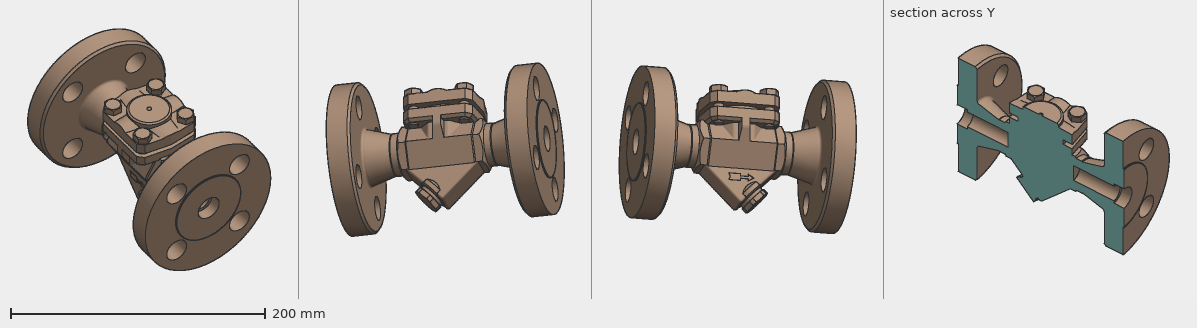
import cadquery as cq
import math

face_to_face = 165.0
flange_diameter = 120.0
flange_thickness = 19.0
flange_chamfer = 2.0
raised_face_diameter = 62.2
raised_face_height = 1.0
raised_face_chamfer = 0.6
bolt_circle_square = 60.0
flange_hole_diameter = 19.0
hub_diameter = 45.8
hub_fillet = 2.5
neck_diameter = 34.0
weld_root_diameter = 33.2
weld_root_x = 41.4
weld_top_x = 40.6
bore_diameter = 20.0
bore_depth = 10.0
passage_diameter = 15.0
passage_depth = 50.0

end_hex_flats = 37.0
end_hex_half_length = 35.2
end_hex_chamfer_angle = 30.0
body_hex_flats = 38.8
body_half_length = 27.4
body_edge_chamfer = 0.9

plate_half_width = 28.1
plate_corner = 4.8
plate_peak_x = 31.1
top_flange_bottom = 14.7
top_flange_chamfer = 2.4
top_flange_top = 25.0
cover_bottom = 29.1
cover_top = 38.2
spacer_diameter = 45.0

boss_diameter = 35.4
boss_top = 43.7
boss_chamfer = 1.0
boss_chamfer_width = 1.7
tip_diameter = 3.7
tip_height = 1.3
end_ridge_peak = 1.4
end_ridge_half_width = 8.2
end_ridge_rise = 0.055
side_ridge_peak = 2.1
side_ridge_half_width = 7.6
side_ridge_rise = 0.1

cover_bolt_spacing = 41.0
cover_bolt_diameter = 8.0
cover_bolt_end = 13.3
cover_bolt_turn = 30
cover_bolt_flats = 13.0
cover_bolt_head_height = 5.5
cover_bolt_head_chamfer = 0.5

core_front = 22.0
core_front_half_width = 8.4
core_side_half_width = 19.0
core_fillet = 3.2
core_root_fillet = 1.0
lug_front_half_width = 3.2
lug_root_half_width = 4.6
lug_chamfer = 0.9

wedge_fillet = 1.8
wedge_apex_z = -47.8
plug_offset = 19.7
plug_boss_diameter = 27.2
plug_boss_rim_diameter = 24.4
plug_boss_root_diameter = 21.0
plug_boss_start = 26.2
plug_boss_full = 29.2
plug_boss_shoulder = 33.2
plug_boss_end = 34.3
plug_collar_diameter = 21.0
plug_head_start = 37.2
plug_head_end = 41.8
plug_head_flats = 22.2
plug_head_rim_diameter = 23.8
plug_head_chamfer = 0.3

arrow_tail_x = -10.0
arrow_notch_depth = 1.2
arrow_shaft_x = -0.6
arrow_head_x = 5.7
arrow_tip_x = 10.2
arrow_half_height = 2.8
arrow_shaft_half_height = 1.0
arrow_z = -26.6
arrow_relief = 0.4

half_hex_angle = math.radians(30)
plug_swing = 135
match_tolerance = 0.01
shortest_root_run = 1.0
wedge_half_thickness = body_hex_flats / 2 * math.tan(half_hex_angle)


def hex_across_corners(flats):
    return flats / math.cos(half_hex_angle)


def flanged_end():
    """Left flange with its raised face, hub cone and neck, as one turned piece."""
    end = face_to_face / 2
    front = end - raised_face_height
    back = front - flange_thickness
    raised_radius = raised_face_diameter / 2
    flange_radius = flange_diameter / 2
    cone_slope = (hub_diameter - weld_root_diameter) / 2 / (back - weld_root_x)
    fillet_end_radius = hub_diameter / 2 - cone_slope * hub_fillet
    profile = (
        cq.Workplane("XY")
        .moveTo(-end, 0)
        .lineTo(-end, raised_radius - raised_face_chamfer)
        .lineTo(-end + raised_face_chamfer, raised_radius)
        .lineTo(-front, raised_radius)
        .lineTo(-front, flange_radius)
        .lineTo(-back - flange_chamfer, flange_radius)
        .lineTo(-back, flange_radius - flange_chamfer)
        .lineTo(-back, fillet_end_radius + hub_fillet)
        .radiusArc((-back + hub_fillet, fillet_end_radius), -hub_fillet)
        .lineTo(-weld_root_x, weld_root_diameter / 2)
        .lineTo(-weld_top_x, neck_diameter / 2)
        .lineTo(-body_half_length, neck_diameter / 2)
        .lineTo(-body_half_length, 0)
        .close()
    )
    turned = profile.revolve(360, (0, 0, 0), (1, 0, 0))
    holes = (
        cq.Workplane("YZ", origin=(-end, 0, 0))
        .rect(bolt_circle_square, bolt_circle_square, forConstruction=True)
        .vertices()
        .circle(flange_hole_diameter / 2)
        .extrude(flange_thickness + 2 * raised_face_height)
    )
    return turned.cut(holes)


def stepped_bore():
    """Connection bore of the left end: a wide mouth and a narrower passage behind it."""
    mouth = cq.Workplane("YZ", origin=(-face_to_face / 2, 0, 0))
    return (
        mouth.circle(bore_diameter / 2)
        .extrude(bore_depth)
        .union(mouth.circle(passage_diameter / 2).extrude(passage_depth))
    )


def hexagon_bar(flats, half_length):
    """Hexagonal bar along X with a flat on top."""
    return (
        cq.Workplane("YZ", origin=(-half_length, 0, 0))
        .polygon(6, hex_across_corners(flats))
        .extrude(2 * half_length)
    )


def end_hexagons():
    """Hexagonal body ends, turned to a cone at both tips like a nut."""
    bar = hexagon_bar(end_hex_flats, end_hex_half_length)
    neck_radius = neck_diameter / 2
    corner_radius = hex_across_corners(end_hex_flats) / 2
    cone_length = (corner_radius - neck_radius) * math.tan(math.radians(end_hex_chamfer_angle))
    shoulder = end_hex_half_length - cone_length
    envelope = (
        cq.Workplane("XY")
        .polyline([
            (-end_hex_half_length, 0),
            (-end_hex_half_length, neck_radius),
            (-shoulder, corner_radius),
            (shoulder, corner_radius),
            (end_hex_half_length, neck_radius),
            (end_hex_half_length, 0),
        ])
        .close()
        .revolve(360, (0, 0, 0), (1, 0, 0))
    )
    return bar.intersect(envelope)


def plate(bottom, top):
    """Cover-shaped plate between two heights."""
    side = plate_half_width
    cut = side - plate_corner
    outline = [
        (plate_peak_x, 0), (side, cut), (cut, side), (-cut, side), (-side, cut),
        (-plate_peak_x, 0), (-side, -cut), (-cut, -side), (cut, -side), (side, -cut),
    ]
    return cq.Workplane("XY", origin=(0, 0, bottom)).polyline(outline).close().extrude(top - bottom)


def cylinder_z(diameter, bottom, top):
    return cq.Workplane("XY", origin=(0, 0, bottom)).circle(diameter / 2).extrude(top - bottom)


def core():
    """Upright core that shows through the sloping body faces below the top flange."""
    depth = core_front - (core_side_half_width - core_front_half_width)
    outline = [
        (core_side_half_width, depth), (core_front_half_width, core_front),
        (-core_front_half_width, core_front), (-core_side_half_width, depth),
        (-core_side_half_width, -depth), (-core_front_half_width, -core_front),
        (core_front_half_width, -core_front), (core_side_half_width, -depth),
    ]
    prism = cq.Workplane("XY").polyline(outline).close().extrude(top_flange_top)
    return prism.edges("|Z").filter(is_core_front_edge).fillet(core_fillet)


def is_core_front_edge(edge):
    """True for the upright edges beside the front and back faces of the core."""
    return abs(abs(edge.Center().y) - core_front) < match_tolerance


def body_with_core():
    """Middle hexagon joined to the upright core, with small fillets between them."""
    bar = hexagon_bar(body_hex_flats, body_half_length).faces("<X or >X").chamfer(body_edge_chamfer)
    joined = bar.union(core())
    roots = joined.edges().filter(is_core_root)
    return roots.fillet(core_root_fillet)


def is_core_root(edge):
    """True for the straight slanting lines where the core walls leave the body hexagon."""
    start = edge.startPoint()
    end = edge.endPoint()
    run = end - start
    slanting = min(abs(run.x), abs(run.y), abs(run.z)) > shortest_root_run
    return slanting and edge.geomType() == "LINE"


def lugs():
    """Lugs hanging from the front and back edges of the top flange down to the body hexagon."""
    front = plate_half_width
    outline = [
        (lug_front_half_width, -front), (lug_root_half_width, -core_front),
        (lug_root_half_width, core_front), (lug_front_half_width, front),
        (-lug_front_half_width, front), (-lug_root_half_width, core_front),
        (-lug_root_half_width, -core_front), (-lug_front_half_width, -front),
    ]
    block = cq.Workplane("XY").polyline(outline).close().extrude(top_flange_top)
    corner_y = hex_across_corners(body_hex_flats) / 2
    reach = corner_y + top_flange_top * math.tan(half_hex_angle)
    envelope = (
        cq.Workplane("YZ")
        .polyline([
            (-corner_y, 0), (corner_y, 0), (reach, top_flange_top), (-reach, top_flange_top),
        ])
        .close()
        .extrude(lug_root_half_width, both=True)
    )
    lug = block.intersect(envelope)
    return lug.faces("<Y or >Y").edges("<Z").chamfer(lug_chamfer)


def cover_ridge(reach, peak, half_width, rise, angle):
    """Round ridge on the cover, climbing from the edge (at 'reach') to the boss.

    peak: ridge top above the cover at the edge, half_width: its half width there,
    rise: climb per unit of length toward the boss, angle: direction about Z.
    """
    radius = (half_width ** 2 + peak ** 2) / (2 * peak)
    tilt = math.degrees(math.atan(rise))
    axis_z = cover_top + peak - radius
    rod = cq.Workplane("YZ").circle(radius).extrude(2 * reach)
    rod = rod.rotate((reach, 0, 0), (reach, 1, 0), tilt).translate((0, 0, axis_z))
    sector = cq.Workplane("XY", origin=(0, -radius, cover_top)).box(
        2 * reach, 2 * radius, boss_top - cover_top, centered=(False, False, False))
    return rod.intersect(sector).rotate((0, 0, 0), (0, 0, 1), angle)


def hexagon_head(flats, rim_diameter, height, chamfer, base):
    """Hexagon head rising from 'base' along Z, turned to 'rim_diameter' and chamfered on top."""
    head = cq.Workplane("XY", origin=(0, 0, base)).polygon(6, hex_across_corners(flats)).extrude(height)
    chamfer_width = (rim_diameter - flats) / 2 + chamfer
    blank = cylinder_z(rim_diameter, base, base + height).faces(">Z").chamfer(chamfer, chamfer_width)
    return head.intersect(blank)


def cover_bolt(x, y, turn):
    shank = cylinder_z(cover_bolt_diameter, cover_bolt_end, cover_top)
    head = hexagon_head(cover_bolt_flats, hex_across_corners(cover_bolt_flats),
                        cover_bolt_head_height, cover_bolt_head_chamfer, cover_top)
    return shank.union(head.rotate((0, 0, 0), (0, 0, 1), turn)).translate((x, y, 0))


def cover():
    """Cover plate with four ridges climbing to a round boss with a small domed tip."""
    body = plate(cover_bottom, cover_top)
    footprint = plate(cover_top, boss_top)
    for angle in (0, 180):
        ridge = cover_ridge(plate_peak_x, end_ridge_peak, end_ridge_half_width, end_ridge_rise, angle)
        body = body.union(ridge.intersect(footprint))
    for angle in (90, 270):
        ridge = cover_ridge(plate_half_width, side_ridge_peak, side_ridge_half_width, side_ridge_rise, angle)
        body = body.union(ridge.intersect(footprint))
    boss = cylinder_z(boss_diameter, cover_bottom, boss_top)
    boss = boss.faces(">Z").chamfer(boss_chamfer, boss_chamfer_width)
    tip_radius = ((tip_diameter / 2) ** 2 + tip_height ** 2) / (2 * tip_height)
    tip = cq.Workplane("XY").sphere(tip_radius).translate((0, 0, boss_top + tip_height - tip_radius))
    return body.union(boss).union(tip)


def strainer_wedge():
    """V-shaped strainer housing below the body, its top end buried in the body hexagon."""
    half_base = -wedge_apex_z
    wedge = (
        cq.Workplane("XZ")
        .polyline([(-half_base, 0), (half_base, 0), (0, wedge_apex_z)])
        .close()
        .extrude(wedge_half_thickness, both=True)
        .edges("not >Z")
        .fillet(wedge_fillet)
    )
    hexagon_bottom = -end_hex_flats / 2
    trim = cq.Workplane("XZ").rect(2 * half_base, -2 * hexagon_bottom).extrude(half_base, both=True)
    return wedge.cut(trim)


def drain_plug():
    """Tapered boss, collar and hexagon head, built along Z and swung onto the wedge side."""
    root_radius = plug_boss_root_diameter / 2
    boss_radius = plug_boss_diameter / 2
    collar_radius = plug_collar_diameter / 2
    turned = (
        cq.Workplane("XZ")
        .polyline([
            (0, plug_boss_start),
            (root_radius, plug_boss_start),
            (boss_radius, plug_boss_full),
            (boss_radius, plug_boss_shoulder),
            (plug_boss_rim_diameter / 2, plug_boss_end),
            (collar_radius, plug_boss_end),
            (collar_radius, plug_head_start),
            (0, plug_head_start),
        ])
        .close()
        .revolve(360, (0, 0, 0), (0, 1, 0))
    )
    head = hexagon_head(plug_head_flats, plug_head_rim_diameter, plug_head_end - plug_head_start,
                        plug_head_chamfer, plug_head_start)
    plug = turned.union(head).translate((plug_offset, 0, 0))
    return plug.rotate((0, 0, 0), (0, 1, 0), plug_swing)


def flow_arrow():
    return (
        cq.Workplane("XZ", origin=(0, -wedge_half_thickness, arrow_z))
        .polyline([
            (arrow_tail_x, arrow_half_height),
            (arrow_shaft_x, arrow_half_height),
            (arrow_shaft_x, arrow_shaft_half_height),
            (arrow_head_x, arrow_shaft_half_height),
            (arrow_head_x, arrow_half_height),
            (arrow_tip_x, 0),
            (arrow_head_x, -arrow_half_height),
            (arrow_head_x, -arrow_shaft_half_height),
            (arrow_shaft_x, -arrow_shaft_half_height),
            (arrow_shaft_x, -arrow_half_height),
            (arrow_tail_x, -arrow_half_height),
            (arrow_tail_x + arrow_notch_depth, 0),
        ])
        .close()
        .extrude(arrow_relief)
    )


body = body_with_core()
body = body.union(end_hexagons())
body = body.union(lugs())
body = body.union(plate(top_flange_bottom, top_flange_top).faces("<Z").chamfer(top_flange_chamfer))
body = body.union(cylinder_z(spacer_diameter, top_flange_top, cover_bottom))
body = body.union(cover())
body = body.union(strainer_wedge()).union(drain_plug()).union(flow_arrow())

half_spacing = cover_bolt_spacing / 2
for side_x in (-1, 1):
    for side_y in (-1, 1):
        turn = cover_bolt_turn if side_x == side_y else 0
        body = body.union(cover_bolt(side_x * half_spacing, side_y * half_spacing, turn))

left_end = flanged_end()
left_bore = stepped_bore()
body = body.union(left_end).union(left_end.mirror("YZ"))
result = body.cut(left_bore).cut(left_bore.mirror("YZ"))